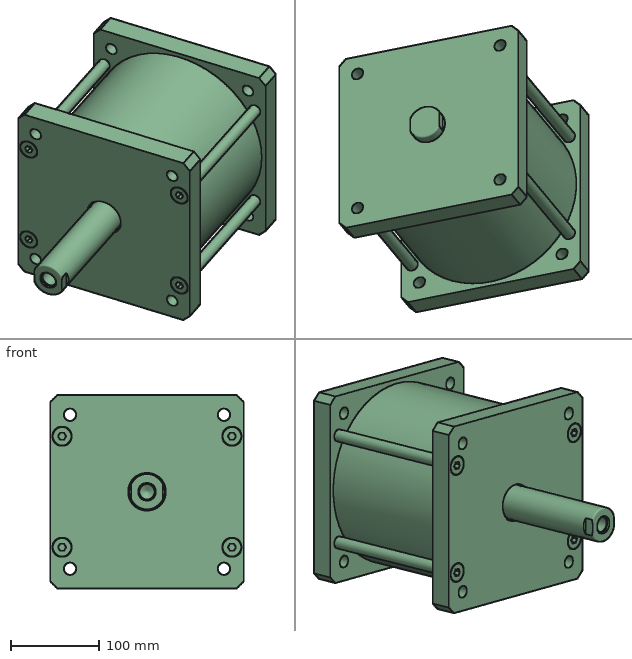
import cadquery as cq
import math

plate_side = 220.0
plate_thickness = 25.5
corner_chamfer = 8.3
plate_gap = 160.3

body_diameter = 210.0

mount_hole_diameter = 13.7
mount_hole_spacing = 174.7

rod_diameter = 14.0
rod_spacing_x = 192.8
rod_spacing_z = 126.0
screw_pocket_diameter = 22.0
screw_head_diameter = 21.0
screw_head_height = 13.7
socket_across_flats = 8.0
socket_depth = 7.2

overall_length = 361.0
front_shaft_length = 137.0
shaft_diameter = 40.0
shaft_end_fillet = 1.8
shaft_clearance_diameter = 43.0
shaft_clearance_depth = 3.5
width_across_flats = 35.5
flat_length = 10.5
flat_runout_length = 1.5
center_hole_diameter = 17.5
center_hole_mouth_diameter = 20.2
center_hole_mouth_depth = 3.2
center_hole_depth = 36.0
drill_point_angle = 118.0

stack_length = 2 * plate_thickness + plate_gap
shaft_front_y = -front_shaft_length
shaft_rear_y = shaft_front_y + overall_length
rod_points = [
    (side * rod_spacing_x / 2, level * rod_spacing_z / 2)
    for side in (-1, 1)
    for level in (-1, 1)
]


def plane_at(y):
    """XZ work plane at the given Y, with its normal toward +Y and local axes X and -Z."""
    return cq.Workplane(cq.Plane(origin=(0, y, 0), xDir=(1, 0, 0), normal=(0, 1, 0)))


def cylinder(diameter, start_y, length, points=((0, 0),)):
    return plane_at(start_y).pushPoints(points).circle(diameter / 2).extrude(length)


def end_plate(start_y):
    return (
        plane_at(start_y)
        .rect(plate_side, plate_side)
        .extrude(plate_thickness)
        .edges("|Y")
        .chamfer(corner_chamfer)
    )


def mounting_holes():
    return (
        plane_at(0)
        .rect(mount_hole_spacing, mount_hole_spacing, forConstruction=True)
        .vertices()
        .circle(mount_hole_diameter / 2)
        .extrude(stack_length)
    )


def screw_gaps():
    """Narrow ring between each flush screw head and its pocket."""
    pockets = cylinder(screw_pocket_diameter, 0, screw_head_height, rod_points)
    heads = cylinder(screw_head_diameter, 0, screw_head_height, rod_points)
    return pockets.cut(heads)


def screw_sockets():
    across_corners = socket_across_flats / math.cos(math.pi / 6)
    return plane_at(0).pushPoints(rod_points).polygon(6, across_corners).extrude(socket_depth)


def flat_cutter(end_y, inward):
    """Both sides of a shaft end outside its flats, with a sloped run-out.

    The profile follows the slope to twice the flat depth, so it clears the shaft surface.
    """
    half_flat = width_across_flats / 2
    flat_depth = shaft_diameter / 2 - half_flat
    outer_x = half_flat + 2 * flat_depth
    flat_end_y = end_y + inward * flat_length
    outer_runout_y = flat_end_y + inward * 2 * flat_runout_length
    profile = [
        (half_flat, end_y),
        (half_flat, flat_end_y),
        (outer_x, outer_runout_y),
        (outer_x, end_y),
    ]
    side = cq.Workplane("XY").polyline(profile).close().extrude(shaft_diameter / 2, both=True)
    return side.union(side.mirror("YZ"))


def shaft():
    bar = cylinder(shaft_diameter, shaft_front_y, overall_length)
    bar = bar.faces("<Y or >Y").fillet(shaft_end_fillet)
    return bar.cut(flat_cutter(shaft_front_y, 1)).cut(flat_cutter(shaft_rear_y, -1))


def center_hole():
    """Blind hole in the front shaft end with a wider, flat-bottomed mouth and a drill-point bottom."""
    radius = center_hole_diameter / 2
    mouth_radius = center_hole_mouth_diameter / 2
    mouth_end_y = shaft_front_y + center_hole_mouth_depth
    hole_end_y = shaft_front_y + center_hole_depth
    point_length = radius / math.tan(math.radians(drill_point_angle / 2))
    return (
        cq.Workplane("XY")
        .moveTo(0, shaft_front_y)
        .lineTo(mouth_radius, shaft_front_y)
        .lineTo(mouth_radius, mouth_end_y)
        .lineTo(radius, mouth_end_y)
        .lineTo(radius, hole_end_y)
        .lineTo(0, hole_end_y + point_length)
        .close()
        .revolve(360, (0, 0, 0), (0, 1, 0))
    )


housing = (
    end_plate(0)
    .union(end_plate(plate_thickness + plate_gap))
    .union(cylinder(body_diameter, plate_thickness, plate_gap))
    .union(cylinder(rod_diameter, plate_thickness, plate_gap, rod_points))
    .cut(mounting_holes())
    .cut(screw_gaps())
    .cut(screw_sockets())
    .cut(cylinder(shaft_clearance_diameter, 0, shaft_clearance_depth))
)

result = housing.union(shaft()).cut(center_hole())